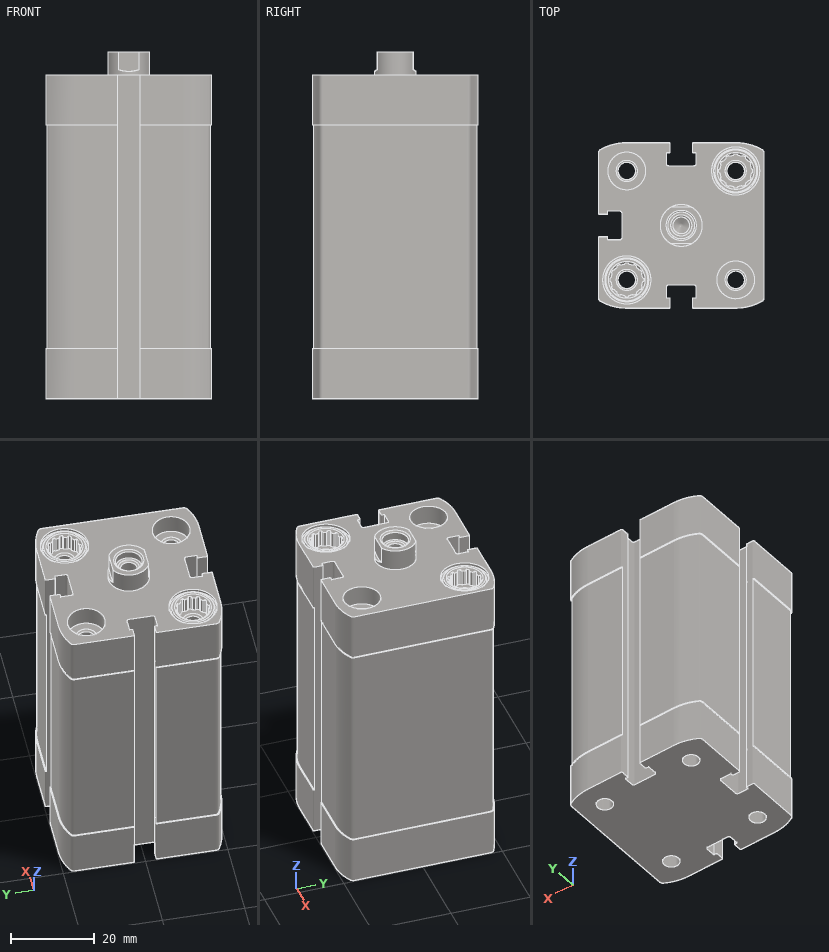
import cadquery as cq
import math

WIDTH = 39.5
TOTAL_HEIGHT = 82.6
ROD_PROJECTION = 5.45
HOUSING_HEIGHT = TOTAL_HEIGHT - ROD_PROJECTION
CAP_HEIGHT = 12.0
TUBE_INSET = 0.25

CORNER_ARC_RADIUS = 12.7
CORNER_EDGE_FILLET = 1.0
HOLE_PITCH = 25.9

NECK_WIDTH = 5.3
CAP_MOUTH_FILLET = 0.25
Y_SLOT_WIDTH = 7.0
Y_SLOT_DEPTH = 5.5
Y_SLOT_LIP = 2.5
Y_SLOT_LIP_FILLET = 0.25
X_SLOT_WIDTH = 6.8
X_SLOT_DEPTH = 5.6
X_SLOT_LIP = 2.2
SLOT_FILLET = 0.5

THROUGH_DIAMETER = 4.1
THROUGH_MOUTH_DIAMETER = 5.0
RECESS_DEPTH = 4.95
PLAIN_RECESS_DIAMETER = 9.0

COLLAR_RECESS = 0.25
COLLAR_FACE_HEIGHT = HOUSING_HEIGHT - COLLAR_RECESS
GROOVE_OUTER_DIAMETER = 11.5
GROOVE_INNER_DIAMETER = 10.5
GROOVE_DEPTH = 0.8
COLLAR_FACE_DIAMETER = 10.0
SOCKET_MOUTH_DIAMETER = 8.75
SOCKET_DIAMETER = 7.5
SOCKET_CHAMFER_HEIGHT = 0.75
SPLINE_COUNT = 12
SPLINE_ROOT_DIAMETER = 8.1
SPLINE_ROOT_WIDTH = 0.6
SPLINE_MOUTH_WIDTH = 1.15

ROD_DIAMETER = 10.0
ROD_SEAT_DEPTH = CAP_HEIGHT
ROD_FLATS_WIDTH = 8.7
ROD_FLAT_BOTTOM = 0.8
ROD_FLAT_CUTTER_RADIUS = 7.3
ROD_BORE_MOUTH_DIAMETER = 7.2
ROD_BORE_DIAMETER = 6.4
ROD_BORE_DEPTH = 2.5
ROD_DRILL_MOUTH_DIAMETER = 5.0
ROD_DRILL_MOUTH_HEIGHT = 0.3
ROD_DRILL_DIAMETER = 4.0
ROD_DRILL_DEPTH = 9.9
DRILL_POINT_ANGLE = 118.0

EDGE_TOLERANCE = 0.1


def cone_height(large_diameter, small_diameter):
    """Height of a 45 degree cone between two diameters."""
    return (large_diameter - small_diameter) / 2


def revolved(profile):
    """Solid of revolution about Z from (radius, height) points."""
    return cq.Workplane("XZ").polyline(profile).close().revolve(360, (0, 0, 0), (0, 1, 0))


def upright_edges_near(body, x, y, reach):
    """Vertical edges whose X and Y both lie within reach of the given point."""
    bounds = body.val().BoundingBox()
    low_corner = (x - reach, y - reach, bounds.zmin)
    high_corner = (x + reach, y + reach, bounds.zmax)
    return body.edges("|Z").edges(cq.selectors.BoxSelector(low_corner, high_corner))


def outline_prism(inset, height):
    """Square block whose corners are large arcs tangent to the +Y and -Y faces."""
    half = WIDTH / 2 - inset
    arc_radius = CORNER_ARC_RADIUS - inset
    arc_center_x = HOLE_PITCH / 2
    arc_center_y = half - arc_radius
    end_angle = math.acos((half - arc_center_x) / arc_radius)
    middle_angle = (end_angle + math.pi / 2) / 2
    end_y = arc_center_y + arc_radius * math.sin(end_angle)
    middle_x = arc_center_x + arc_radius * math.cos(middle_angle)
    middle_y = arc_center_y + arc_radius * math.sin(middle_angle)
    block = (
        cq.Workplane("XY")
        .moveTo(half, -end_y)
        .lineTo(half, end_y)
        .threePointArc((middle_x, middle_y), (arc_center_x, half))
        .lineTo(-arc_center_x, half)
        .threePointArc((-middle_x, middle_y), (-half, end_y))
        .lineTo(-half, -end_y)
        .threePointArc((-middle_x, -middle_y), (-arc_center_x, -half))
        .lineTo(arc_center_x, -half)
        .threePointArc((middle_x, -middle_y), (half, -end_y))
        .close()
        .extrude(height)
    )
    for x in (-half, half):
        for y in (-end_y, end_y):
            block = upright_edges_near(block, x, y, EDGE_TOLERANCE).fillet(CORNER_EDGE_FILLET)
    return block


def slot_cutter(slot_width, slot_depth, lip, height):
    """T-slot cutter for the -Y face, with rounded floor corners."""
    neck = cq.Workplane("XY").box(NECK_WIDTH, slot_depth, height, centered=(True, False, False))
    chamber = (
        cq.Workplane("XY")
        .box(slot_width, slot_depth - lip, height, centered=(True, False, False))
        .edges("|Z and >Y")
        .fillet(SLOT_FILLET)
        .translate((0, lip, 0))
    )
    return neck.union(chamber).translate((0, -WIDTH / 2, 0))


def slotted_section(inset, bottom, top):
    """Length of housing with T-slots in the -Y, +Y and -X faces."""
    height = top - bottom
    section = outline_prism(inset, height)
    y_slot = slot_cutter(Y_SLOT_WIDTH, Y_SLOT_DEPTH, Y_SLOT_LIP, height)
    for x in (-NECK_WIDTH / 2, NECK_WIDTH / 2):
        lip_edge = upright_edges_near(y_slot, x, Y_SLOT_LIP - WIDTH / 2, EDGE_TOLERANCE)
        y_slot = lip_edge.fillet(Y_SLOT_LIP_FILLET)
    x_slot = slot_cutter(X_SLOT_WIDTH, X_SLOT_DEPTH, X_SLOT_LIP, height)
    section = section.cut(y_slot).cut(y_slot.mirror("XZ"))
    section = section.cut(x_slot.rotate((0, 0, 0), (0, 0, 1), -90))
    return section.translate((0, 0, bottom))


def end_cap(bottom):
    """Slotted section at full width whose slot mouths are rounded."""
    cap = slotted_section(0, bottom, bottom + CAP_HEIGHT)
    reach = NECK_WIDTH / 2 + EDGE_TOLERANCE
    face = WIDTH / 2
    for x, y in ((0, -face), (0, face), (-face, 0)):
        mouth = upright_edges_near(cap, x, y, reach)
        cap = mouth.fillet(CAP_MOUTH_FILLET)
    return cap


def stepped_hole(recess_diameter):
    """Cutter for a recess with a through hole that has a conical mouth in the recess floor."""
    floor = HOUSING_HEIGHT - RECESS_DEPTH
    recess_radius = recess_diameter / 2
    through_radius = THROUGH_DIAMETER / 2
    mouth_radius = THROUGH_MOUTH_DIAMETER / 2
    mouth_bottom = floor - cone_height(THROUGH_MOUTH_DIAMETER, THROUGH_DIAMETER)
    return revolved([
        (0, 0),
        (through_radius, 0),
        (through_radius, mouth_bottom),
        (mouth_radius, floor),
        (recess_radius, floor),
        (recess_radius, HOUSING_HEIGHT),
        (0, HOUSING_HEIGHT),
    ])


def collar_clearance():
    """Cutter above the collar face, with a ring groove whose inner wall is the collar chamfer."""
    bottom = HOUSING_HEIGHT - GROOVE_DEPTH
    return revolved([
        (GROOVE_INNER_DIAMETER / 2, bottom),
        (GROOVE_OUTER_DIAMETER / 2, bottom),
        (GROOVE_OUTER_DIAMETER / 2, HOUSING_HEIGHT),
        (0, HOUSING_HEIGHT),
        (0, COLLAR_FACE_HEIGHT),
        (COLLAR_FACE_DIAMETER / 2, COLLAR_FACE_HEIGHT),
    ])


def splined_hole():
    """Cutter for a grooved collar with a splined socket and a through hole."""
    cutter = stepped_hole(SOCKET_DIAMETER).union(collar_clearance())
    mouth_bottom = COLLAR_FACE_HEIGHT - SOCKET_CHAMFER_HEIGHT
    mouth = revolved([
        (0, mouth_bottom),
        (SOCKET_DIAMETER / 2, mouth_bottom),
        (SOCKET_MOUTH_DIAMETER / 2, COLLAR_FACE_HEIGHT),
        (0, COLLAR_FACE_HEIGHT),
    ])
    cutter = cutter.union(mouth)
    inner_x = math.sqrt((SOCKET_DIAMETER / 2) ** 2 - (SPLINE_MOUTH_WIDTH / 2) ** 2)
    root_x = SPLINE_ROOT_DIAMETER / 2
    spline_root = (
        cq.Workplane("XY", origin=(0, 0, HOUSING_HEIGHT - RECESS_DEPTH))
        .polyline([
            (inner_x, -SPLINE_MOUTH_WIDTH / 2),
            (root_x, -SPLINE_ROOT_WIDTH / 2),
            (root_x, SPLINE_ROOT_WIDTH / 2),
            (inner_x, SPLINE_MOUTH_WIDTH / 2),
        ])
        .close()
        .extrude(RECESS_DEPTH)
    )
    for index in range(SPLINE_COUNT):
        angle = index * 360 / SPLINE_COUNT
        cutter = cutter.union(spline_root.rotate((0, 0, 0), (0, 0, 1), angle))
    return cutter


def make_housing():
    upper_cap_bottom = HOUSING_HEIGHT - CAP_HEIGHT
    housing = slotted_section(TUBE_INSET, CAP_HEIGHT, upper_cap_bottom)
    for cap_bottom in (0, upper_cap_bottom):
        housing = housing.union(end_cap(cap_bottom))

    plain_hole = stepped_hole(PLAIN_RECESS_DIAMETER)
    collar_hole = splined_hole()
    offset = HOLE_PITCH / 2
    for side in (-1, 1):
        housing = housing.cut(plain_hole.translate((side * offset, -side * offset, 0)))
        housing = housing.cut(collar_hole.translate((side * offset, side * offset, 0)))

    rod_seat = (
        cq.Workplane("XY", origin=(0, 0, HOUSING_HEIGHT - ROD_SEAT_DEPTH))
        .circle(ROD_DIAMETER / 2)
        .extrude(ROD_SEAT_DEPTH)
    )
    return housing.cut(rod_seat)


def rod_bore():
    """Cutter for the chamfered counterbore and the drilled hole with its conical point."""
    top = TOTAL_HEIGHT
    floor = top - ROD_BORE_DEPTH
    drill_radius = ROD_DRILL_DIAMETER / 2
    drill_bottom = top - ROD_DRILL_DEPTH
    point_height = drill_radius / math.tan(math.radians(DRILL_POINT_ANGLE / 2))
    return revolved([
        (0, drill_bottom - point_height),
        (drill_radius, drill_bottom),
        (drill_radius, floor - ROD_DRILL_MOUTH_HEIGHT),
        (ROD_DRILL_MOUTH_DIAMETER / 2, floor),
        (ROD_BORE_DIAMETER / 2, floor),
        (ROD_BORE_DIAMETER / 2, top - cone_height(ROD_BORE_MOUTH_DIAMETER, ROD_BORE_DIAMETER)),
        (ROD_BORE_MOUTH_DIAMETER / 2, top),
        (0, top),
    ])


def flat_cutter():
    """Disc cutter for the -Y wrench flat, whose lower end is an arc of the disc."""
    disc_center_z = HOUSING_HEIGHT + ROD_FLAT_BOTTOM + ROD_FLAT_CUTTER_RADIUS
    return (
        cq.Workplane("XZ", origin=(0, -ROD_FLATS_WIDTH / 2, disc_center_z))
        .circle(ROD_FLAT_CUTTER_RADIUS)
        .extrude(ROD_DIAMETER / 2)
    )


def make_rod():
    rod = (
        cq.Workplane("XY", origin=(0, 0, HOUSING_HEIGHT - ROD_SEAT_DEPTH))
        .circle(ROD_DIAMETER / 2)
        .extrude(ROD_SEAT_DEPTH + ROD_PROJECTION)
    )
    flat = flat_cutter()
    return rod.cut(flat).cut(flat.mirror("XZ")).cut(rod_bore())


housing = make_housing()
rod = make_rod()
result = cq.Compound.makeCompound([housing.val(), rod.val()])